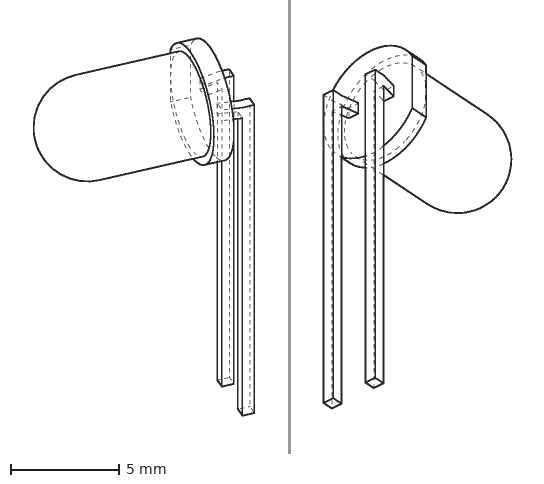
import cadquery as cq

lens_diameter = 5.0
lens_radius = lens_diameter / 2
lens_length = 6.13
flange_diameter = 5.8
flange_radius = flange_diameter / 2
flange_thickness = 1.0

lead_width = 0.6
lead_pitch = 2.55
lead_rear = 1.55
lead_splay = 0.2
overall_height = 19.9
lead_bottom = flange_radius - overall_height


def make_lens():
    """Cylinder with a hemispherical front, revolved about the Y axis."""
    dome_tip = -(lens_length + lens_radius)
    dome_middle = lens_radius * 0.5 ** 0.5
    return (
        cq.Workplane("XY")
        .moveTo(0, 0)
        .lineTo(lens_radius, 0)
        .lineTo(lens_radius, -lens_length)
        .threePointArc((dome_middle, -lens_length - dome_middle), (0, dome_tip))
        .close()
        .revolve(360, (0, 0, 0), (0, 1, 0))
    )


def make_flange():
    """Round flange with its -X side cut flat, tangent to the lens."""
    disc = cq.Workplane("XZ").circle(flange_radius).extrude(flange_thickness)
    keep = cq.Workplane("XY").box(
        lens_radius + flange_radius, 2 * flange_thickness, flange_diameter
    ).translate(((flange_radius - lens_radius) / 2, 0, 0))
    return disc.intersect(keep)


def make_lead(side):
    """Square lead that splays outward behind the flange, then drops down."""
    outer = side * (lead_pitch + lead_width) / 2
    inner = side * (lead_pitch - lead_width) / 2
    shift = side * lead_splay
    bend_front = lead_rear - lead_width
    arm = (
        cq.Workplane("XY")
        .workplane(offset=-lead_width / 2)
        .polyline([
            (inner - shift, 0),
            (outer - shift, 0),
            (outer, bend_front),
            (outer, lead_rear),
            (inner, lead_rear),
            (inner, bend_front),
        ])
        .close()
        .extrude(lead_width)
    )
    lead_height = lead_width / 2 - lead_bottom
    leg = cq.Workplane("XY").box(lead_width, lead_width, lead_height).translate((
        side * lead_pitch / 2,
        lead_rear - lead_width / 2,
        lead_bottom + lead_height / 2,
    ))
    return arm.union(leg)


result = make_lens().union(make_flange())
for side in (-1, 1):
    result = result.union(make_lead(side))